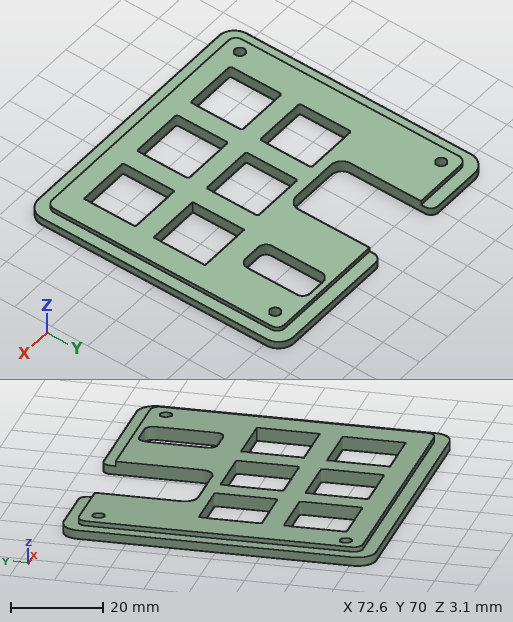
import cadquery as cq

plate_x = 72.6
plate_y = 70.0
plate_thickness = 2.0
plate_corner_radius = 4.2

total_height = 3.1
rim_x = 3.0
rim_y = 3.2
panel_corner_radius = 2.0

notch_left = -17.2
notch_right = 1.0
notch_floor_y = 9.45
notch_floor_radius = 3.0
notch_mouth_radius = 2.0

window_x = 8.65
window_y = 17.65
window_center = (17.85, 21.4)
window_corner_radius = 2.0

key_size = 14.1
key_pitch = 19.0
key_first_x = -18.1
key_front_y = -19.5
key_corner_radius = 0.5
right_key_x = 13.9
right_key_corner_radius = 0.2
back_right_key_center = (20.2, -0.2)
front_right_key_center = (19.9, key_front_y)

hole_diameter = 2.7
hole_centers = [(-29.55, 27.8), (29.3, 27.7), (-30.0, -27.65)]


def rounded_block(size_x, size_y, height, radius, center=(0, 0)):
    """Block standing on Z = 0 with rounded vertical edges."""
    block = cq.Workplane("XY").center(*center).rect(size_x, size_y).extrude(height)
    return block.edges("|Z").fillet(radius)


def through_opening(size_x, size_y, radius, center):
    """Cutter reaching through plate and panel."""
    return rounded_block(size_x, size_y, total_height, radius, center)


def notch_cutter():
    """Notch with rounded floor corners and a mouth flaring out to the back edge."""
    back_y = plate_y / 2
    mouth_y = back_y - notch_mouth_radius
    mouth = (
        cq.Workplane("XY")
        .moveTo(notch_left, notch_floor_y)
        .lineTo(notch_right, notch_floor_y)
        .lineTo(notch_right, mouth_y)
        .radiusArc((notch_right + notch_mouth_radius, back_y), notch_mouth_radius)
        .lineTo(notch_left - notch_mouth_radius, back_y)
        .radiusArc((notch_left, mouth_y), notch_mouth_radius)
        .close()
        .extrude(total_height)
    )
    return mouth.edges("|Z and <Y").fillet(notch_floor_radius)


plate = rounded_block(plate_x, plate_y, plate_thickness, plate_corner_radius)
panel = rounded_block(plate_x - 2 * rim_x, plate_y - 2 * rim_y, total_height, panel_corner_radius)
result = plate.union(panel)

result = result.cut(notch_cutter())
result = result.cut(through_opening(window_x, window_y, window_corner_radius, window_center))

for column in range(2):
    for row in range(2):
        key_center = (key_first_x + column * key_pitch, key_front_y + row * key_pitch)
        result = result.cut(through_opening(key_size, key_size, key_corner_radius, key_center))

result = result.cut(through_opening(right_key_x, key_size, right_key_corner_radius, front_right_key_center))
sharp_opening = cq.Workplane("XY").center(*back_right_key_center).rect(right_key_x, key_size)
result = result.cut(sharp_opening.extrude(total_height))

holes = cq.Workplane("XY").pushPoints(hole_centers).circle(hole_diameter / 2).extrude(total_height)
result = result.cut(holes)